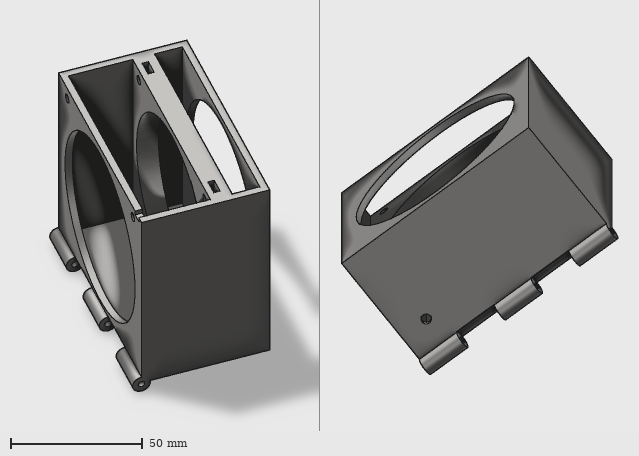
import cadquery as cq
import math

width = 90.0
depth = 52.3
height = 83.2
wall = 3.0
floor_thickness = 2.0

divider_front = 29.2
divider_back = 38.1

air_diameter = 76.0
air_height = 42.0
screw_diameter = 3.6
screw_spacing = 71.3
screw_height = height - 5.2

nut_width = 6.3
nut_thickness = 2.5
nut_front = 31.8

cable_hole_diameter = 4.0
cable_hole_x = 33.0
cable_hole_y = 14.85
notch_width = 4.0
notch_depth = 2.0
notch_x = width / 2 - wall - notch_width / 2

hinge_diameter = 7.2
hinge_drop = 0.7
pin_diameter = 2.6
clearance_diameter = 7.6
outer_knuckle_length = 18.0
middle_knuckle_length = 17.6


def block(length, y_start, y_end, z_start, z_end, x_center=0.0):
    """Box centred on x_center, given by its extents along y and z."""
    return cq.Workplane("XY").box(
        length, y_end - y_start, z_end - z_start, centered=(True, False, False)
    ).translate((x_center, y_start, z_start))


def bore_y(diameter, x, z, y_end):
    """Cylinder along y from the front face back to y_end."""
    return cq.Workplane("XZ").center(x, z).circle(diameter / 2).extrude(-y_end)


def hinge_rod(diameter, x_start, x_end):
    """Cylinder on the hinge axis."""
    rod = cq.Workplane("YZ").center(0, -hinge_drop).circle(diameter / 2)
    return rod.extrude(x_end - x_start).translate((x_start, 0, 0))


def nut_trap(x):
    """Upright hexagonal pocket with a straight slot up to the top face."""
    nut_back = nut_front + nut_thickness
    hexagon = (
        cq.Workplane("XZ")
        .polygon(6, nut_width / math.cos(math.pi / 6))
        .extrude(-nut_thickness)
        .rotate((0, 0, 0), (0, 1, 0), 30)
        .translate((x, nut_front, screw_height))
    )
    return hexagon.union(block(nut_width, nut_front, nut_back, screw_height, height, x))


inner_width = width - 2 * wall
body = block(width, 0, depth, 0, height)
body = body.cut(block(inner_width, wall, divider_front, floor_thickness, height))
body = body.cut(block(inner_width, divider_back, depth - wall, floor_thickness, height))

body = body.cut(bore_y(air_diameter, 0, air_height, depth))
for screw_x in (-screw_spacing / 2, screw_spacing / 2):
    body = body.cut(bore_y(screw_diameter, screw_x, screw_height, divider_back))
    body = body.cut(nut_trap(screw_x))

cable_hole = cq.Workplane("XY").center(cable_hole_x, cable_hole_y).circle(cable_hole_diameter / 2)
body = body.cut(cable_hole.extrude(floor_thickness))
body = body.cut(block(notch_width, 0, wall, height - notch_depth, height, notch_x))

outer_knuckle_end = width / 2 - outer_knuckle_length
middle_knuckle_end = middle_knuckle_length / 2
knuckles = [
    (-width / 2, -outer_knuckle_end),
    (-middle_knuckle_end, middle_knuckle_end),
    (outer_knuckle_end, width / 2),
]
gaps = [
    (-outer_knuckle_end, -middle_knuckle_end),
    (middle_knuckle_end, outer_knuckle_end),
]
for start, end in gaps:
    body = body.cut(hinge_rod(clearance_diameter, start, end))
for start, end in knuckles:
    body = body.union(hinge_rod(hinge_diameter, start, end))
body = body.cut(hinge_rod(pin_diameter, -width / 2, width / 2))

result = body